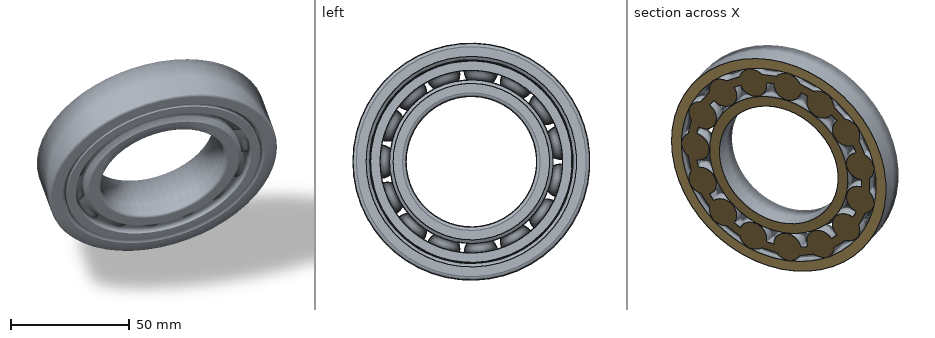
import cadquery as cq
import math

width = 21.0
outer_radius = 50.0
bore_radius = 27.5

front_round = 1.5
rear_round = 1.0

outer_land_radius = 42.9
inner_land_radius = 34.5
land_chamfer = 1.5

ball_count = 15
ball_radius = 7.1
pitch_radius = 38.7

cage_outer_radius = 42.5
cage_inner_radius = 38.5
cage_recess = 0.2
cage_width = width - 2 * cage_recess

SMALLEST = 0
LARGEST = -1


def tube(outside, inside, length):
    """Plain tube along X, centred on the origin."""
    return (
        cq.Workplane("YZ")
        .workplane(offset=-length / 2)
        .circle(outside)
        .circle(inside)
        .extrude(length)
    )


def end_circle(ring, face, rank):
    """Edge of the end face "<X" or ">X" that has the smallest or largest radius."""
    return ring.faces(face).edges(cq.selectors.RadiusNthSelector(rank))


def ball_track():
    """Torus that the balls sweep as they roll around the axis."""
    axis = cq.Vector(1, 0, 0)
    return cq.Workplane(obj=cq.Solid.makeTorus(pitch_radius, ball_radius, cq.Vector(), axis))


def make_ring(outside, inside, rounded_wall, land):
    """Bearing ring with one rounded wall, and a chamfered land that holds the ball track."""
    ring = tube(outside, inside, width)
    ring = end_circle(ring, "<X", rounded_wall).fillet(front_round)
    ring = end_circle(ring, ">X", rounded_wall).fillet(rear_round)
    for face in ("<X", ">X"):
        ring = end_circle(ring, face, land).chamfer(land_chamfer)
    return ring.cut(ball_track())


def make_ball_cage():
    """Cage ring with evenly spaced balls fixed in it, the first one on +Y."""
    cage = tube(cage_outer_radius, cage_inner_radius, cage_width)
    for index in range(ball_count):
        angle = 2 * math.pi * index / ball_count
        center = (0, pitch_radius * math.cos(angle), pitch_radius * math.sin(angle))
        ball = cq.Workplane("XY").sphere(ball_radius).translate(center)
        cage = cage.union(ball)
    return cage


outer_ring = make_ring(outer_radius, outer_land_radius, rounded_wall=LARGEST, land=SMALLEST)
inner_ring = make_ring(inner_land_radius, bore_radius, rounded_wall=SMALLEST, land=LARGEST)
ball_cage = make_ball_cage()

bodies = (outer_ring, inner_ring, ball_cage)
result = cq.Compound.makeCompound([body.solids().val() for body in bodies])